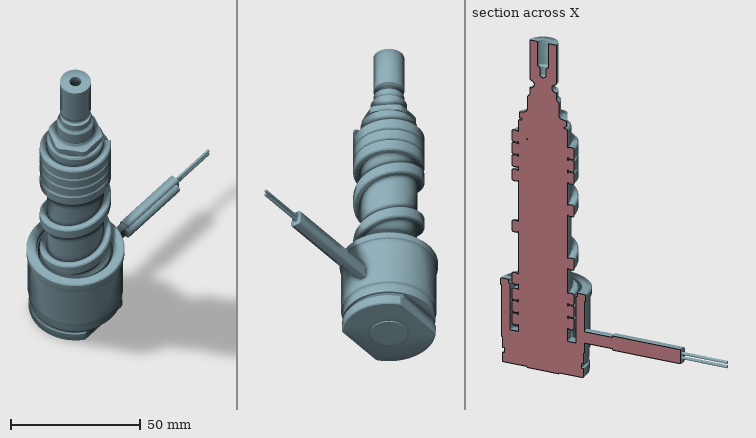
import math

import cadquery as cq


boss_radius = 7.2
plug_bottom_z = 0.4
plug_radius = 18.15
plug_chamfer = 0.4
plug_top_z = 4.4
plug_groove_radius = 17.1
plug_flat_distance = 14.15

housing_foot_z = 6.3
housing_foot_radius = 18.0
housing_bottom_z = 10.5
housing_radius = 18.5
housing_chamfer = 0.5
flange_bottom_z = 32.0
flange_top_z = 35.2
flange_radius = 19.0
flange_chamfer = 0.4
recess_radius = 14.6
recess_mouth_radius = 15.2
recess_mouth_depth = 1.5
recess_chamfer = 0.3

tube_radius = 11.0
tube_top_z = 102.3
tube_chamfer_width = 0.5
tube_chamfer_height = 0.6

hex_sides = 6
hex_across_flats = 19.0
hex_corner_radius = 10.5
hex_bottom_z = 102.9
hex_rim_z = 105.5

collar_foot_radius = 7.7
collar_foot_z = 106.1
collar_radius = 7.1
collar_bottom_z = 106.95
collar_chamfer_z = 112.4
collar_top_radius = 6.4
collar_top_z = 113.1
shaft_radius = 6.0
shaft_foot_flare = 0.3
shaft_foot_z = 113.6
shaft_top_z = 136.2
shaft_end_z = 119.8
neck_radius = 4.0
neck_shoulder_z = 116.45
neck_waist_z = 118.1
neck_shoulder_radius = 5.6
neck_cone_radius = 4.3
neck_cone_z = 118.9

centre_hole_radius = 2.3
centre_hole_depth = 10.0
pilot_radius = 1.2
pilot_depth = 14.0
drill_point_angle = 118.0

spring_seating = 0.05
spring_inner_radius = tube_radius - spring_seating
spring_outer_radius = 13.8
coil_wire_height = 5.05
coil_wire_chamfer = 0.5
closed_pitch = 5.15
open_pitch = 22.1
open_start_angle = 320.0
open_start_z = 38.65
open_sweep = 597.0
ramp_sweep = 139.0
closed_sweep = 1149.0
spring_point_step = 15.0

cable_x = -1.35
cable_z = 17.35
cable_width = 3.1
cable_height = 5.4
cable_corner = 0.7
sleeve_width = 4.1
sleeve_height = 6.3
sleeve_corner = 1.2
sleeve_start_y = 30.7
sleeve_end_y = 61.0
rod_radius = 2.0
rod_x = 0.65
rod_start_y = 29.3
rod_end_y = 59.3
lead_wire_radius = 0.6
lead_wire_spacing = 1.8
lead_wire_end_y = 81.0


def turned_around_z(profile):
    """Close a (radius, height) outline and turn it around Z."""
    turned = profile.close().revolve(360, (0, 0, 0), (0, 1, 0))
    return turned.rotate((0, 0, 0), (1, 0, 0), 90)


def cylinder(radius, bottom_z, top_z):
    return cq.Workplane("XY").workplane(offset=bottom_z).circle(radius).extrude(top_z - bottom_z)


def bar_along_y(sketch, start_y, end_y):
    """Extrude a cross-section drawn in the XZ plane from start_y to end_y."""
    return sketch.extrude(start_y - end_y).translate((0, start_y, 0))


def rise_along_ramp(angle):
    """Rise along a ramp whose pitch falls evenly from open to closed."""
    pitch_drop = (open_pitch - closed_pitch) * angle / ramp_sweep
    return (open_pitch - pitch_drop / 2) * angle / 360


def rise_beyond_open(angle):
    """Rise measured outward from either end of the open coils."""
    if angle <= ramp_sweep:
        return rise_along_ramp(angle)
    return rise_along_ramp(ramp_sweep) + closed_pitch * (angle - ramp_sweep) / 360


def coil_height(angle):
    """Height of the wire centre at a winding angle counted from the start of the open coils."""
    if angle < 0:
        return open_start_z - rise_beyond_open(-angle)
    if angle <= open_sweep:
        return open_start_z + open_pitch * angle / 360
    open_end_z = open_start_z + open_pitch * open_sweep / 360
    return open_end_z + rise_beyond_open(angle - open_sweep)


def wire_corners():
    """Corners (radius, height) of the wire section with bevelled edges."""
    half = coil_wire_height / 2
    inner = spring_inner_radius
    outer = spring_outer_radius
    bevel = coil_wire_chamfer
    return [
        (inner, -half + bevel),
        (inner + bevel, -half),
        (outer - bevel, -half),
        (outer, -half + bevel),
        (outer, half - bevel),
        (outer - bevel, half),
        (inner + bevel, half),
        (inner, half - bevel),
    ]


def coil_edge(radius, offset_z, first_angle, last_angle):
    """One edge of the wire as a smooth curve around Z."""
    steps = math.ceil((last_angle - first_angle) / spring_point_step)
    points = []
    for i in range(steps + 1):
        angle = first_angle + (last_angle - first_angle) * i / steps
        turn = math.radians(open_start_angle + angle)
        height = coil_height(angle) + offset_z
        points.append(cq.Vector(radius * math.cos(turn), radius * math.sin(turn), height))
    return cq.Edge.makeSpline(points)


def wire_end(edges, position):
    """Flat face closing the wire at one end of its edges."""
    corners = [edge.positionAt(position) for edge in edges]
    return cq.Face.makeFromWires(cq.Wire.makePolygon(corners, close=True))


def spring_section(first_angle, last_angle):
    """Solid stretch of the spring between two winding angles."""
    edges = [coil_edge(r, z, first_angle, last_angle) for r, z in wire_corners()]
    faces = [wire_end(edges, 0), wire_end(edges, 1)]
    for i, edge in enumerate(edges):
        faces.append(cq.Face.makeRuledSurface(edges[i - 1], edge))
    return cq.Workplane(cq.Solid.makeSolid(cq.Shell.makeShell(faces)))


spring_first_angle = -ramp_sweep - closed_sweep
spring_last_angle = open_sweep + ramp_sweep + closed_sweep
recess_floor_z = coil_height(spring_first_angle) - coil_wire_height / 2


def make_plug():
    plug = cylinder(plug_radius, plug_bottom_z, plug_top_z).faces("<Z").chamfer(plug_chamfer)
    plug = plug.union(cylinder(plug_groove_radius, plug_top_z, housing_foot_z))
    between_flats = cq.Workplane("XY").rect(2 * plug_flat_distance, 2 * plug_radius).extrude(housing_foot_z)
    return plug.intersect(between_flats).union(cylinder(boss_radius, 0, plug_bottom_z))


def make_housing():
    outline = (
        cq.Workplane("XY")
        .moveTo(0, housing_foot_z)
        .lineTo(housing_foot_radius, housing_foot_z)
        .lineTo(housing_foot_radius, housing_bottom_z)
        .lineTo(housing_radius, housing_bottom_z + housing_chamfer)
        .lineTo(housing_radius, flange_bottom_z)
        .lineTo(flange_radius, flange_bottom_z + flange_chamfer)
        .lineTo(flange_radius, flange_top_z - flange_chamfer)
        .lineTo(flange_radius - flange_chamfer, flange_top_z)
        .lineTo(recess_mouth_radius + recess_chamfer, flange_top_z)
        .lineTo(recess_mouth_radius, flange_top_z - recess_chamfer)
        .lineTo(recess_mouth_radius, flange_top_z - recess_mouth_depth)
        .lineTo(recess_radius, flange_top_z - recess_mouth_depth)
        .lineTo(recess_radius, recess_floor_z)
        .lineTo(0, recess_floor_z)
    )
    return turned_around_z(outline)


def make_tube():
    outline = (
        cq.Workplane("XY")
        .moveTo(0, recess_floor_z)
        .lineTo(tube_radius, recess_floor_z)
        .lineTo(tube_radius, tube_top_z - tube_chamfer_height)
        .lineTo(tube_radius - tube_chamfer_width, tube_top_z)
        .lineTo(hex_across_flats / 2, tube_top_z)
        .lineTo(hex_across_flats / 2, hex_bottom_z)
        .lineTo(0, hex_bottom_z)
    )
    return turned_around_z(outline)


def make_hexagon():
    """Hexagon with flats facing +X and -X, turned corners and a conical top."""
    outline = (
        cq.Workplane("XY")
        .moveTo(0, hex_bottom_z)
        .lineTo(hex_corner_radius, hex_bottom_z)
        .lineTo(hex_corner_radius, hex_rim_z)
        .lineTo(collar_foot_radius, collar_foot_z)
        .lineTo(0, collar_foot_z)
    )
    half_side_angle = 180 / hex_sides
    across_corners = hex_across_flats / math.cos(math.radians(half_side_angle))
    prism = cq.Workplane("XY").polygon(hex_sides, across_corners).extrude(shaft_top_z)
    return turned_around_z(outline).intersect(prism.rotate((0, 0, 0), (0, 0, 1), half_side_angle))


def cone_height(radial_step):
    """Height of a drill-point cone that narrows by a radial step."""
    return radial_step / math.tan(math.radians(drill_point_angle / 2))


def make_shaft():
    hole_cone_end_z = shaft_top_z - centre_hole_depth - cone_height(centre_hole_radius - pilot_radius)
    pilot_end_z = shaft_top_z - pilot_depth
    outline = (
        cq.Workplane("XY")
        .moveTo(0, collar_foot_z)
        .lineTo(collar_foot_radius, collar_foot_z)
        .lineTo(collar_radius, collar_bottom_z)
        .lineTo(collar_radius, collar_chamfer_z)
        .lineTo(collar_top_radius, collar_top_z)
        .lineTo(shaft_radius + shaft_foot_flare, collar_top_z)
        .lineTo(shaft_radius, shaft_foot_z)
        .lineTo(shaft_radius, neck_shoulder_z)
        .lineTo(neck_shoulder_radius, neck_shoulder_z)
        .threePointArc((neck_radius, neck_waist_z), (neck_cone_radius, neck_cone_z))
        .lineTo(shaft_radius, shaft_end_z)
        .lineTo(shaft_radius, shaft_top_z)
        .lineTo(centre_hole_radius, shaft_top_z)
        .lineTo(centre_hole_radius, shaft_top_z - centre_hole_depth)
        .lineTo(pilot_radius, hole_cone_end_z)
        .lineTo(pilot_radius, pilot_end_z)
        .lineTo(0, pilot_end_z - cone_height(pilot_radius))
    )
    return turned_around_z(outline)


def rounded_bar(width, height, corner, start_y, end_y):
    section = cq.Workplane("XZ").center(cable_x, cable_z).rect(width, height)
    return bar_along_y(section, start_y, end_y).edges("|Y").fillet(corner)


def round_bar(x, z, radius, start_y, end_y):
    return bar_along_y(cq.Workplane("XZ").center(x, z).circle(radius), start_y, end_y)


def make_cable():
    cable_start_y = (recess_radius + housing_radius) / 2
    cable = rounded_bar(cable_width, cable_height, cable_corner, cable_start_y, sleeve_start_y)
    cable = cable.union(rounded_bar(sleeve_width, sleeve_height, sleeve_corner, sleeve_start_y, sleeve_end_y))
    cable = cable.union(round_bar(rod_x, cable_z, rod_radius, rod_start_y, rod_end_y))
    for side in (-1, 1):
        lead_wire_z = cable_z + side * lead_wire_spacing / 2
        cable = cable.union(round_bar(cable_x, lead_wire_z, lead_wire_radius, sleeve_end_y, lead_wire_end_y))
    return cable


result = make_plug().union(make_housing()).union(make_tube()).union(make_hexagon())
result = result.union(make_shaft()).union(make_cable())
spring_breaks = [spring_first_angle, -ramp_sweep, 0, open_sweep, open_sweep + ramp_sweep, spring_last_angle]
for first, last in zip(spring_breaks, spring_breaks[1:]):
    result = result.union(spring_section(first, last))